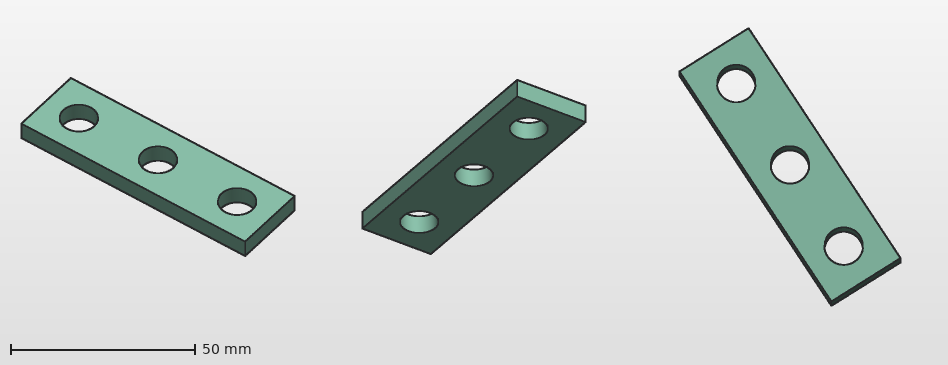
import cadquery as cq

length = 76.2
width = 22.3
thickness = 5.5

hole_count = 3
hole_diameter = 10.45
end_margin = width / 2
hole_pitch = (length - 2 * end_margin) / (hole_count - 1)

bar = cq.Workplane("XY").box(length, width, thickness)

result = (
    bar.faces(">Z")
    .workplane()
    .rarray(hole_pitch, width, hole_count, 1)
    .hole(hole_diameter)
)